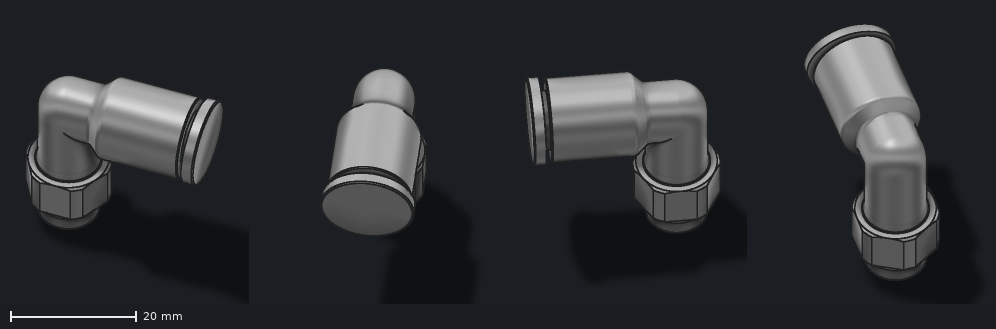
import cadquery as cq
import math


tube_radius = 5.0

hex_top = -12.3
hex_height = 7.1
hex_bottom = hex_top - hex_height
hex_flats = 13.0
hex_corner_radius = 7.0
hex_chamfer = 0.5
hex_chamfer_angle = math.radians(30)

flare_top = -10.85
flare_height = 1.25
flare_bottom = flare_top - flare_height
flare_radius = 5.25
flare_foot_radius = 5.4

stud_bottom = -24.62
stud_radius = 4.93
stud_shoulder_angle = math.radians(30)
stud_lower_chamfer = 0.5
neck_radius = 4.13
neck_bottom = -21.35
neck_chamfer_height = 0.45
neck_flare_radius = 4.3

socket_radius = 6.82
socket_end = 20.7
socket_end_chamfer = 0.2
cone_start = 5.0
cone_end = 7.03
cone_start_fillet = 0.85
cone_end_fillet = 1.0

sleeve_radius = 4.8
sleeve_chamfer = 0.12
collar_width = 15.0
collar_height = 13.1
collar_start = 21.63
collar_end = 23.6
collar_chamfer = 0.23


def revolve_about_z(outline):
    """Turn a closed (radius, z) outline about the Z axis."""
    return cq.Workplane("XZ").polyline(outline).close().revolve(360, (0, 0), (0, 1))


def make_elbow():
    """Rounded corner with the upright tube leading down to the flare."""
    ball = cq.Workplane("XY").sphere(tube_radius)
    upright = cq.Workplane("XY").circle(tube_radius).extrude(flare_top)
    return ball.union(upright)


def make_flare():
    """Slightly widening skirt between the tube and the hexagon."""
    return revolve_about_z([
        (0, flare_top),
        (tube_radius, flare_top),
        (flare_radius, flare_bottom),
        (flare_foot_radius, hex_top),
        (0, hex_top),
    ])


def make_hexagon():
    """Hexagon with turned-down corners and a shallow conical top chamfer."""
    across_corners = hex_flats / math.cos(math.pi / 6)
    hexagon = (
        cq.Workplane("XY")
        .workplane(offset=hex_bottom)
        .polygon(6, across_corners)
        .extrude(hex_height)
    )
    chamfer_drop = hex_chamfer * math.tan(hex_chamfer_angle)
    turned_blank = revolve_about_z([
        (0, hex_bottom),
        (hex_corner_radius, hex_bottom),
        (hex_corner_radius, hex_top - chamfer_drop),
        (hex_corner_radius - hex_chamfer, hex_top),
        (0, hex_top),
    ])
    return hexagon.intersect(turned_blank)


def make_stud():
    """Plain round stud below the hexagon, with a sloping shoulder up to a relief neck."""
    shoulder_drop = (stud_radius - neck_radius) * math.tan(stud_shoulder_angle)
    return revolve_about_z([
        (0, hex_bottom),
        (neck_flare_radius, hex_bottom),
        (neck_radius, hex_bottom - neck_chamfer_height),
        (neck_radius, neck_bottom),
        (stud_radius, neck_bottom - shoulder_drop),
        (stud_radius, stud_bottom + stud_lower_chamfer),
        (stud_radius - stud_lower_chamfer, stud_bottom),
        (0, stud_bottom),
    ])


def make_socket():
    """Horizontal tube that opens through a blended cone into the socket body."""
    socket = (
        cq.Workplane("XZ")
        .polyline([
            (0, 0),
            (0, tube_radius),
            (cone_start, tube_radius),
            (cone_end, socket_radius),
            (socket_end - socket_end_chamfer, socket_radius),
            (socket_end, socket_radius - socket_end_chamfer),
            (socket_end, 0),
        ])
        .close()
        .revolve(360, (0, 0), (1, 0))
    )
    socket = blend_rim(socket, cone_start, cone_start_fillet)
    return blend_rim(socket, cone_end, cone_end_fillet)


def blend_rim(body, station, fillet_radius):
    """Round the circular edge that lies in the plane x = station."""
    margin = 0.01
    reach = 2 * socket_radius
    rim = cq.selectors.BoxSelector(
        (station - margin, -reach, -reach),
        (station + margin, reach, reach),
    )
    return body.edges(rim).fillet(fillet_radius)


def make_collar():
    """Oval release collar on its sleeve."""
    sleeve = (
        cq.Workplane("YZ")
        .workplane(offset=socket_end)
        .circle(sleeve_radius)
        .extrude(collar_start - socket_end)
        .faces(">X")
        .chamfer(sleeve_chamfer)
    )
    flange = (
        cq.Workplane("YZ")
        .workplane(offset=collar_start)
        .ellipse(collar_width / 2, collar_height / 2)
        .extrude(collar_end - collar_start)
        .faces(">X")
        .chamfer(collar_chamfer)
    )
    return sleeve.union(flange)


result = (
    make_elbow()
    .union(make_socket())
    .union(make_flare())
    .union(make_hexagon())
    .union(make_stud())
    .union(make_collar())
)